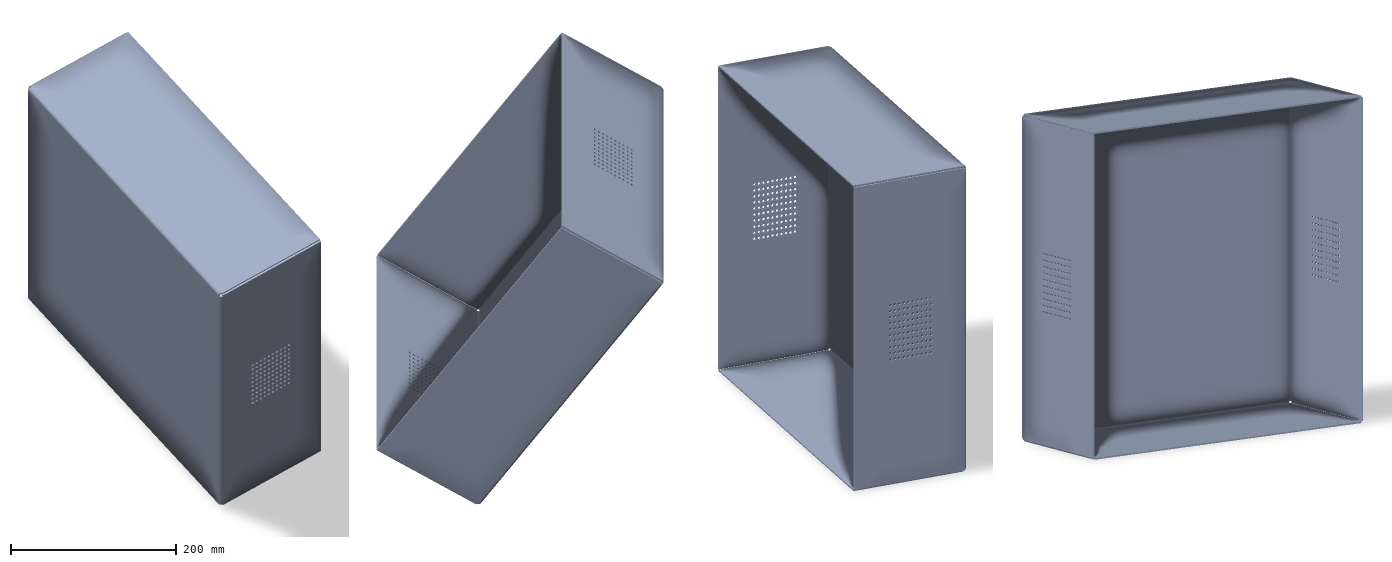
import cadquery as cq

OUTER_SIZE = 404.0
DEPTH = 150.0
SHEET = 2.0
BEND_RADIUS = 4.0
CORNER_GAP = 0.2

VENT_DIAMETER = 3.5
VENT_COLUMNS = 10
VENT_ROWS = 10
VENT_COLUMN_PITCH = 6.0
VENT_ROW_PITCH = 8.0

HALF_SIZE = OUTER_SIZE / 2
PLATE_SIZE = OUTER_SIZE - 2 * BEND_RADIUS
INNER_RADIUS = BEND_RADIUS - SHEET
FLANGE_WIDTH = OUTER_SIZE - 2 * SHEET - 2 * CORNER_GAP
FLANGE_LENGTH = DEPTH - BEND_RADIUS


def front_plate():
    """Flat square between the four folds."""
    return cq.Workplane("XY").box(PLATE_SIZE, SHEET, PLATE_SIZE).translate((0, SHEET / 2, 0))


def fold():
    """Quarter-round bend joining the plate to the +X flange."""
    ring = (
        cq.Workplane("XY")
        .center(PLATE_SIZE / 2, BEND_RADIUS)
        .circle(BEND_RADIUS)
        .circle(INNER_RADIUS)
        .extrude(PLATE_SIZE / 2, both=True)
    )
    quarter = cq.Workplane("XY").box(BEND_RADIUS, BEND_RADIUS, PLATE_SIZE)
    quarter = quarter.translate((HALF_SIZE - BEND_RADIUS / 2, BEND_RADIUS / 2, 0))
    return ring.intersect(quarter)


def flange():
    """Flat +X wall, running past the fold at both ends to close up to its neighbours."""
    wall = cq.Workplane("XY").box(SHEET, FLANGE_LENGTH, FLANGE_WIDTH)
    return wall.translate((HALF_SIZE - SHEET / 2, BEND_RADIUS + FLANGE_LENGTH / 2, 0))


def vents():
    """Grid of round vents through both X walls, centred on them."""
    return (
        cq.Workplane("YZ")
        .center(DEPTH / 2, 0)
        .rarray(VENT_COLUMN_PITCH, VENT_ROW_PITCH, VENT_COLUMNS, VENT_ROWS)
        .circle(VENT_DIAMETER / 2)
        .extrude(HALF_SIZE + SHEET, both=True)
    )


cover = front_plate()
side = fold().union(flange())
for quarter_turn in range(4):
    cover = cover.union(side.rotate((0, 0, 0), (0, 1, 0), 90 * quarter_turn))

result = cover.cut(vents())